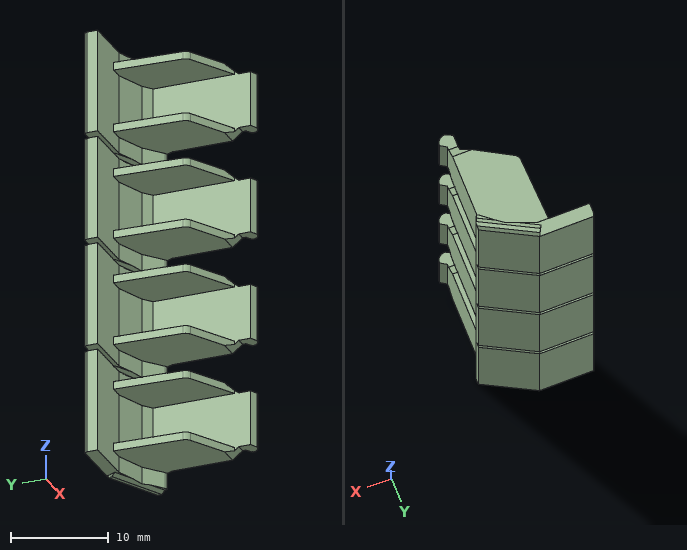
import cadquery as cq
import math

unit_count = 4
total_height = 48.4
pitch = total_height / unit_count

overall_width = 11.65
plate_thickness = 1.5
back_bevel_width = 0.15
back_bevel_depth = 0.35
outer_bend_x = 6.1
inner_bend_x = 5.7
wing_tip_drop = 2.95
wing_edge_y = -3.7
wing_knee = (8.9, -2.7)
wing_inner_corner = (11.0, -4.4)
wing_end_corner = (11.3, -4.55)

ridge_height = 0.315
ridge_width = 1.25
ridge_back_bevel = 0.315
ridge_front_bevel = 0.5

wall_inner_x = 9.9
wall_outer_x = wing_inner_corner[0]
rib_offset = 2.105
rib_thickness = 0.85
rib_root = (4.25, -plate_thickness)
rib_corner = (4.6, -9.5)
rib_corner_radius = 0.8
rib_end_y = -12.55
rib_bevel_start_y = -11.9
rib_bevel_end_y = -13.0
hook_notch_y = -13.35
hook_heel_y = -14.35
hook_toe = (10.75, -14.7)
hook_nose_mid = (11.33, -14.5)
hook_nose_low_y = -14.1
hook_nose_high_y = -13.8

end_face_slope = (wing_edge_y - wing_end_corner[1]) / (overall_width - wing_end_corner[0])
wall_root_y = wing_end_corner[1] - end_face_slope * (wing_end_corner[0] - wall_outer_x)

channel_bottom = rib_offset
channel_height = pitch - 2 * rib_offset
gap_bottom = rib_offset + rib_thickness
gap_height = pitch - 2 * gap_bottom


def prism(outline, bottom, height):
    """Extrude a closed XY polygon upward from the given Z."""
    return cq.Workplane("XY").workplane(offset=bottom).polyline(outline).close().extrude(height)


def make_slab(bottom, height):
    outline = [
        (0, -back_bevel_depth),
        (back_bevel_width, 0),
        (outer_bend_x, 0),
        (overall_width, -wing_tip_drop),
        (overall_width, wing_edge_y),
        wing_end_corner,
        wing_inner_corner,
        wing_knee,
        (inner_bend_x, -plate_thickness),
        (0, -plate_thickness),
    ]
    return prism(outline, bottom, height)


def make_ridged_wing():
    """Full-pitch core of the wing with both ends bevelled, trimmed to the slab outline."""
    run = overall_width - outer_bend_x
    wing_length = math.hypot(run, wing_tip_drop)
    across_wing = cq.Plane(
        origin=(outer_bend_x, 0, 0),
        xDir=(-wing_tip_drop, -run, 0),
        normal=(run, -wing_tip_drop, 0),
    )
    section = [
        (0, -ridge_height),
        (ridge_back_bevel, 0),
        (ridge_width - ridge_front_bevel, 0),
        (ridge_width, -ridge_height),
        (ridge_width, ridge_height - pitch),
        (ridge_width - ridge_front_bevel, -pitch),
        (ridge_back_bevel, -pitch),
        (0, ridge_height - pitch),
    ]
    core = cq.Workplane(across_wing).polyline(section).close().extrude(wing_length + ridge_width)
    return core.intersect(make_slab(0, pitch))


def make_channel():
    block = prism(
        [
            rib_root,
            rib_corner,
            (wall_inner_x, rib_end_y),
            (wall_inner_x, rib_bevel_end_y),
            (wall_outer_x, rib_bevel_end_y),
            (wall_outer_x, wall_root_y),
            wing_end_corner,
            wing_inner_corner,
            wing_knee,
            (inner_bend_x, -plate_thickness),
        ],
        channel_bottom,
        channel_height,
    )
    corner_edge = cq.selectors.NearestToPointSelector((*rib_corner, pitch / 2))
    block = block.edges(corner_edge).fillet(rib_corner_radius)
    side_profile = [
        (0, channel_bottom),
        (rib_bevel_start_y, channel_bottom),
        (rib_bevel_end_y, gap_bottom),
        (rib_bevel_end_y, gap_bottom + gap_height),
        (rib_bevel_start_y, channel_bottom + channel_height),
        (0, channel_bottom + channel_height),
    ]
    envelope = cq.Workplane("YZ").polyline(side_profile).close().extrude(overall_width)
    gap = cq.Workplane("XY").box(
        wall_inner_x, -rib_bevel_end_y, gap_height, centered=False
    ).translate((0, rib_bevel_end_y, gap_bottom))
    return block.intersect(envelope).cut(gap)


def make_hook():
    return (
        cq.Workplane("XY")
        .workplane(offset=gap_bottom)
        .moveTo(wall_inner_x, rib_end_y)
        .lineTo(wall_inner_x, hook_heel_y)
        .lineTo(*hook_toe)
        .threePointArc(hook_nose_mid, (overall_width, hook_nose_low_y))
        .lineTo(overall_width, hook_nose_high_y)
        .lineTo(wall_outer_x, hook_notch_y)
        .lineTo(wall_outer_x, rib_end_y)
        .close()
        .extrude(gap_height)
    )


def make_unit():
    slab = make_slab(ridge_height, pitch - 2 * ridge_height)
    return slab.union(make_ridged_wing()).union(make_channel()).union(make_hook())


unit = make_unit()
result = unit
for index in range(1, unit_count):
    result = result.union(unit.translate((0, 0, index * pitch)))